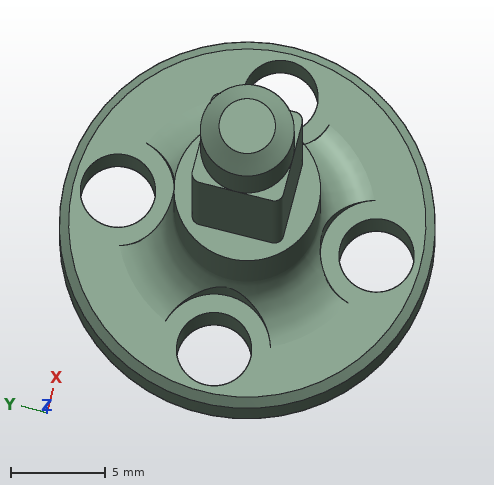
import cadquery as cq
import math

flange_diameter = 20.0
flange_thickness = 3.0
flange_chamfer = 0.5

hole_count = 4
hole_diameter = 4.0
hole_circle_radius = 7.1
head_clearance_diameter = 6.0

hub_diameter = 7.8
hub_height = 8.0
hub_fillet = 3.0

square_side = 5.0
square_length = 10.0
square_corner_radius = 0.5

pin_diameter = 5.0
pin_length = 5.0
pin_chamfer = 1.0

hub_top = flange_thickness + hub_height
square_top = hub_top + square_length


def bolt_circle_cylinders(diameter, bottom, height):
    """Upright cylinders, one at each bolt position."""
    return (
        cq.Workplane("XY")
        .workplane(offset=bottom)
        .polarArray(hole_circle_radius, 0, 360, hole_count)
        .circle(diameter / 2)
        .extrude(height)
    )


def make_flange():
    flange = cq.Workplane("XY").circle(flange_diameter / 2).extrude(flange_thickness)
    return flange.faces(">Z").edges().chamfer(flange_chamfer)


def make_hub():
    """Revolved hub with its flared foot, starting at the underside of the flange."""
    hub_radius = hub_diameter / 2
    foot_radius = hub_radius + hub_fillet
    fillet_top = flange_thickness + hub_fillet
    arc_inset = hub_fillet * math.sqrt(0.5)
    arc_middle = (foot_radius - arc_inset, fillet_top - arc_inset)
    profile = (
        cq.Workplane("XZ")
        .lineTo(foot_radius, 0)
        .lineTo(foot_radius, flange_thickness)
        .threePointArc(arc_middle, (hub_radius, fillet_top))
        .lineTo(hub_radius, hub_top)
        .lineTo(0, hub_top)
        .close()
    )
    return profile.revolve(360, (0, 0, 0), (0, 1, 0))


def make_square_drive():
    square = (
        cq.Workplane("XY")
        .workplane(offset=hub_top)
        .rect(square_side, square_side)
        .extrude(square_length)
    )
    return square.edges("|Z").fillet(square_corner_radius)


def make_pin():
    pin = (
        cq.Workplane("XY")
        .workplane(offset=square_top)
        .circle(pin_diameter / 2)
        .extrude(pin_length)
    )
    return pin.faces(">Z").edges().chamfer(pin_chamfer)


head_clearances = bolt_circle_cylinders(head_clearance_diameter, flange_thickness, hub_height)
bolt_holes = bolt_circle_cylinders(hole_diameter, 0, flange_thickness)

result = (
    make_flange()
    .union(make_hub())
    .cut(head_clearances)
    .cut(bolt_holes)
    .union(make_square_drive())
    .union(make_pin())
)